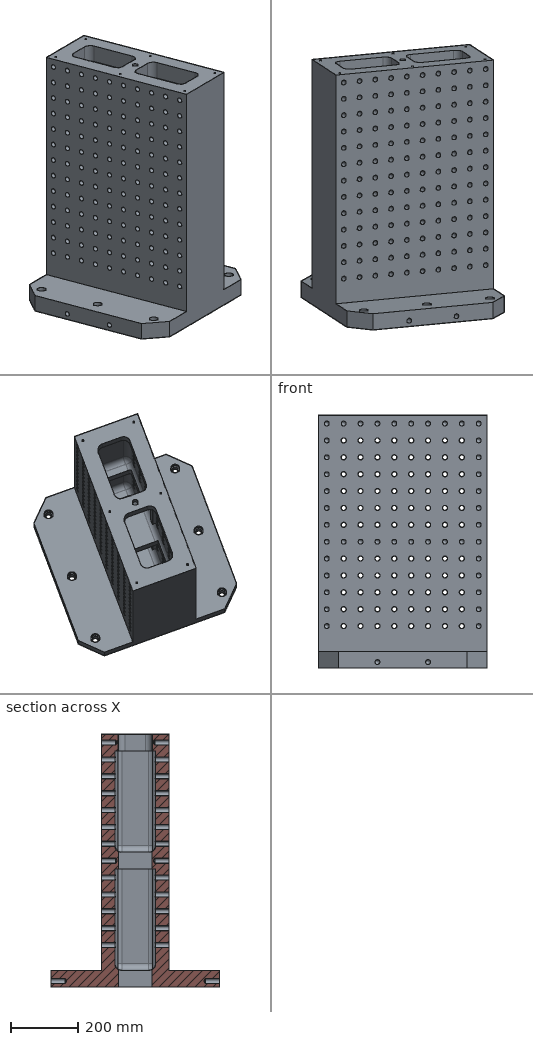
import cadquery as cq
import math

height = 750.0
plate_side = 500.0
pitch = plate_side / 10
plate_thickness = pitch
plate_corner_cut = 60.0
column_depth = 4 * pitch

cap_thickness = pitch
rib_thickness = pitch
rib_center = height / 2
chamber_length = 420.0
chamber_width = 120.0
chamber_corner_round = 20.0
chamber_floor_round = 19.5

window_inner_x = 24.0
window_outer_x = 200.0
window_width = 2 * pitch
window_round = 20.0

post_half_width = 9.0
post_height = 9.0
post_foot_round = 5.0

opening_inner_x = 60.0
opening_outer_x = 170.0
opening_width = 99.0
opening_round = 6.0

grid_columns = 10
grid_rows = 13
grid_diameter = 14.0
grid_depth = 42.0
drill_tip_angle = 118.0

edge_hole_x = 1.5 * pitch
edge_hole_z = 18.0
lift_diameter = 17.0
lift_depth = 30.0
pin_diameter = 5.0
pin_depth = 10.0
pin_x = 230.0
pin_y = 80.0
bolt_diameter = 18.0
bolt_head_diameter = 26.0
bolt_head_depth = 17.0
bolt_offset = 4 * pitch


def drill(diameter, depth):
    """Drill shape with a conical tip, pointing along +Y from the origin."""
    radius = diameter / 2
    tip = radius / math.tan(math.radians(drill_tip_angle / 2))
    profile = [(0, 0), (radius, 0), (radius, depth), (0, depth + tip)]
    return cq.Workplane("XY").polyline(profile).close().revolve(360, (0, 0, 0), (0, 1, 0)).val()


def front_and_back(tool, x, y, z):
    """Two drills facing each other, entering at y = -y and y = +y."""
    front = tool.translate(cq.Vector(x, -y, z))
    return [front, front.mirror("XZ")]


def chamber(bottom, top):
    """One hollow along the full column, with rounded corners and floor, and a post on each wall."""
    hollow = (
        cq.Workplane("XY", origin=(0, 0, bottom))
        .rect(chamber_length, chamber_width)
        .extrude(top - bottom)
        .edges("|Z").fillet(chamber_corner_round)
        .faces("<Z").edges().fillet(chamber_floor_round)
    )
    wall_y = chamber_width / 2
    face_y = wall_y - post_height
    foot_x = post_half_width + post_foot_round
    foot_y = wall_y - post_foot_round
    bulge = post_foot_round * (1 - math.sqrt(0.5))
    post = (
        cq.Workplane("XY", origin=(0, 0, bottom))
        .moveTo(-foot_x, wall_y)
        .threePointArc((-post_half_width - bulge, wall_y - bulge), (-post_half_width, foot_y))
        .lineTo(-post_half_width, face_y)
        .lineTo(post_half_width, face_y)
        .lineTo(post_half_width, foot_y)
        .threePointArc((post_half_width + bulge, wall_y - bulge), (foot_x, wall_y))
        .close()
        .extrude(top - bottom)
    )
    return hollow.cut(post).cut(post.mirror("XZ"))


def opening_pair(inner_x, outer_x, width, bottom, top):
    """Two rectangular openings, mirrored about the mid length."""
    center_x = (inner_x + outer_x) / 2
    return (
        cq.Workplane("XY", origin=(0, 0, bottom))
        .pushPoints([(-center_x, 0), (center_x, 0)])
        .rect(outer_x - inner_x, width)
        .extrude(top - bottom)
    )


plate = (
    cq.Workplane("XY")
    .rect(plate_side, plate_side)
    .extrude(plate_thickness)
    .edges("|Z").chamfer(plate_corner_cut)
)
column = cq.Workplane("XY").rect(plate_side, column_depth).extrude(height)
body = plate.union(column)

rib_bottom = rib_center - rib_thickness / 2
rib_top = rib_center + rib_thickness / 2
cap_bottom = height - cap_thickness
openings_top = rib_top + chamber_floor_round
windows = opening_pair(window_inner_x, window_outer_x, window_width, cap_bottom, height)
openings = opening_pair(opening_inner_x, opening_outer_x, opening_width, 0, openings_top)
body = (
    body.cut(chamber(plate_thickness, rib_bottom))
    .cut(chamber(rib_top, cap_bottom))
    .cut(windows.edges("|Z").fillet(window_round))
    .cut(openings.edges("|Z").edges("<X or >X").fillet(opening_round))
)

grid_drill = drill(grid_diameter, grid_depth)
drills = []
for column_index in range(grid_columns):
    hole_x = (column_index - (grid_columns - 1) / 2) * pitch
    for row_index in range(grid_rows):
        hole_z = height - (row_index + 0.5) * pitch
        drills += front_and_back(grid_drill, hole_x, column_depth / 2, hole_z)
for hole_x in (-edge_hole_x, edge_hole_x):
    drills += front_and_back(grid_drill, hole_x, plate_side / 2, edge_hole_z)
body = body.cut(cq.Workplane(cq.Compound.makeCompound(drills)))

lift_drill = drill(lift_diameter, lift_depth).rotate(cq.Vector(), cq.Vector(1, 0, 0), -90)
body = body.cut(cq.Workplane(lift_drill.translate(cq.Vector(0, 0, height))))
pin_points = [(x, y) for x in (-pin_x, 0, pin_x) for y in (-pin_y, pin_y)]
pins = (
    cq.Workplane("XY", origin=(0, 0, height))
    .pushPoints(pin_points)
    .circle(pin_diameter / 2)
    .extrude(-pin_depth)
)
body = body.cut(pins)

bolt_points = [(x, y) for x in (-bolt_offset, 0, bolt_offset) for y in (-bolt_offset, bolt_offset)]
result = (
    body.copyWorkplane(cq.Workplane("XY", origin=(0, 0, plate_thickness)))
    .pushPoints(bolt_points)
    .cboreHole(bolt_diameter, bolt_head_diameter, bolt_head_depth, plate_thickness)
)